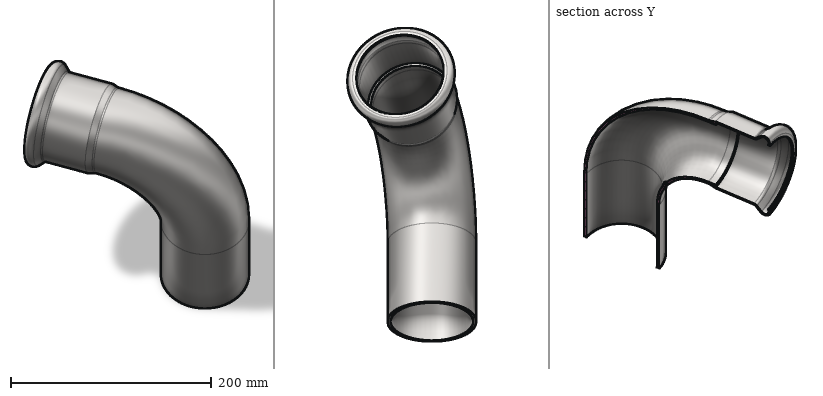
import cadquery as cq
import math

overall_height = 244.7
tube_diameter = 88.8
tube_bore = 82.5
bend_radius = 102.0
tube_radius = tube_diameter / 2
bore_radius = tube_bore / 2

socket_diameter = 93.0
socket_bore = 88.8
socket_radius = socket_diameter / 2
socket_bore_radius = socket_bore / 2
wall = socket_radius - socket_bore_radius
socket_end = 63.5
neck_end = 70.2
bend_start = 72.2

bead_diameter = 109.5
bead_section_radius = 6.5
bead_fillet_radius = 2.5
bead_center_x = bead_section_radius
bead_center_radius = bead_diameter / 2 - bead_section_radius

bend_end_x = bend_start + bend_radius
spigot_length = overall_height - bead_diameter / 2 - bend_radius
socket_axis = (1, 0, 0)
slope = math.radians(45)

fillet_center_radius = socket_radius + bead_fillet_radius
bead_to_fillet_drop = bead_center_radius - fillet_center_radius
fillet_center_x = (
    bead_center_x
    + (bead_section_radius + bead_fillet_radius) / math.cos(slope)
    + bead_to_fillet_drop
)


def circle_point(center_x, center_radius, radius, angle):
    """Point on a profile arc, with the angle measured from +X."""
    return (center_x + radius * math.cos(angle), center_radius + radius * math.sin(angle))


def add_bead(profile, offset):
    """Continue a profile over the bead and its fillet, moved inward by offset."""
    section = bead_section_radius - offset
    fillet = bead_fillet_radius + offset
    bead_top = (bead_center_x, bead_center_radius + section)
    bead_back = circle_point(bead_center_x, bead_center_radius, section, slope)
    fillet_start = circle_point(fillet_center_x, fillet_center_radius, fillet, slope + math.pi)
    middle_angle = math.pi + (slope + math.pi / 2) / 2
    fillet_middle = circle_point(fillet_center_x, fillet_center_radius, fillet, middle_angle)
    fillet_end = (fillet_center_x, fillet_center_radius - fillet)
    return (
        profile.lineTo(bead_center_x - section, bead_center_radius)
        .threePointArc(bead_top, bead_back)
        .lineTo(*fillet_start)
        .threePointArc(fillet_middle, fillet_end)
    )


def make_socket_body():
    """Solid of revolution for the bead, socket and neck."""
    profile = (
        add_bead(cq.Workplane("XY"), 0)
        .lineTo(socket_end, socket_radius)
        .lineTo(neck_end, tube_radius)
        .lineTo(bend_start, tube_radius)
        .lineTo(bend_start, 0)
        .close()
    )
    return profile.revolve(360, (0, 0, 0), socket_axis)


def make_socket_cavity():
    """Solid of revolution for the mouth, the hollow of the bead and the socket bore."""
    lip = cq.Workplane("XY").lineTo(0, socket_bore_radius).lineTo(wall, socket_bore_radius)
    profile = (
        add_bead(lip, wall)
        .lineTo(socket_end, socket_bore_radius)
        .lineTo(socket_end, 0)
        .close()
    )
    return profile.revolve(360, (0, 0, 0), socket_axis)


def make_elbow(radius, start):
    """Round bar along X from start, through the bend, then down the spigot."""
    path = (
        cq.Workplane("XZ")
        .moveTo(start, 0)
        .lineTo(bend_start, 0)
        .radiusArc((bend_end_x, -bend_radius), bend_radius)
        .lineTo(bend_end_x, -bend_radius - spigot_length)
    )
    return cq.Workplane("YZ", origin=(start, 0, 0)).circle(radius).sweep(path)


outside = make_socket_body().union(make_elbow(tube_radius, neck_end))
result = outside.cut(make_socket_cavity()).cut(make_elbow(bore_radius, socket_end))